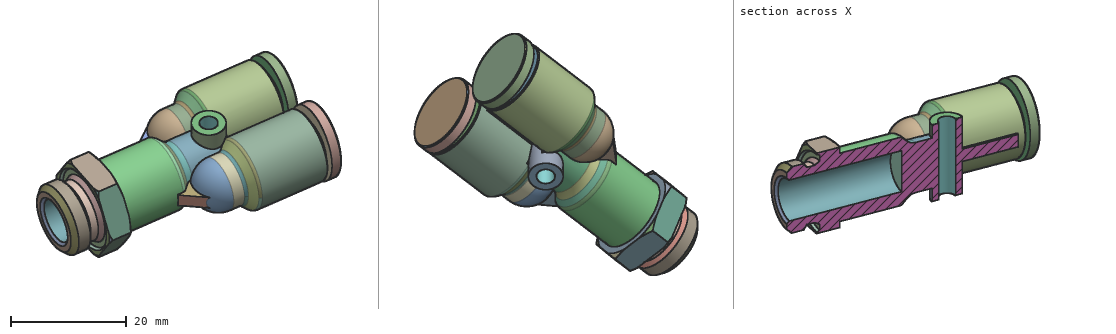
import cadquery as cq
import math

length = 50.1
width = 27.8

barrel_radius = 6.8
reduced_radius = 5.0
shoulder_length = barrel_radius - reduced_radius
leg_offset = width / 2 - barrel_radius

leg_top = 47.2
leg_shoulder = 33.4
leg_dome_center = 29.05
leg_outer_fillet = 0.8
leg_inner_fillet = 0.9
leg_rim_chamfer = 0.2

button_neck_radius = 4.8
collar_bottom = 48.1
collar_width = 13.25
collar_height = 15.1
collar_edge_chamfer = 0.2

stem_shoulder = 22.55
stem_neck_end = 34.05
stem_outer_fillet = 1.0
stem_inner_fillet = 2.1

hex_bottom = 5.9
hex_top = 10.45
hex_across_flats = 16.0
hex_corner_radius = hex_across_flats / 2 / math.cos(math.radians(30))
hex_bottom_face_radius = 8.65
hex_bottom_chamfer_height = 0.35
hex_top_face_radius = 8.15
hex_top_chamfer_height = 0.5

recess_mouth_radius = 7.65
recess_depth = 0.55
recess_taper = 0.3
recess_floor = hex_bottom + recess_depth

thread_radius = 6.6
thread_top = 3.35
thread_chamfer = 1.0
relief_radius = 5.7
relief_bottom = 4.0
relief_top = 5.5
relief_root_radius = 6.3

bore_radius = 4.0
bore_chamfer = 0.5
bore_end = stem_shoulder

post_center = 31.5
post_radius = 3.0
post_height = 15.25
post_hole_radius = 1.6

web_thickness = 2.55
web_top = 45.5
gusset_inner = (barrel_radius, 21.05)
gusset_outer = (10.75, 26.05)


def turned(profile):
    """Solid of revolution about the Y axis; profile points are (radius, y)."""
    return (
        cq.Workplane("XY")
        .polyline(profile)
        .close()
        .revolve(360, (0, 0, 0), (0, 1, 0))
    )


def circle_at(y):
    """Selector for the circular edges of a Y-axis solid lying at height y."""
    reach = 25.05
    tolerance = 0.005
    return cq.selectors.BoxSelector(
        (-reach, y - tolerance, -reach), (reach, y + tolerance, reach)
    )


def shouldered_barrel(end, shoulder, neck_end, outer_fillet, inner_fillet):
    """Barrel from end to shoulder, narrowing at 45 degrees to a neck ending at neck_end."""
    direction = math.copysign(1, neck_end - shoulder)
    neck_start = shoulder + direction * shoulder_length
    barrel = turned([
        (0, end),
        (barrel_radius, end),
        (barrel_radius, shoulder),
        (reduced_radius, neck_start),
        (reduced_radius, neck_end),
        (0, neck_end),
    ])
    barrel = barrel.edges(circle_at(shoulder)).fillet(outer_fillet)
    return barrel.edges(circle_at(neck_start)).fillet(inner_fillet)


def release_button():
    neck = turned([
        (0, leg_top),
        (button_neck_radius, leg_top),
        (button_neck_radius, collar_bottom),
        (0, collar_bottom),
    ])
    collar = (
        cq.Workplane("XZ", origin=(0, length, 0))
        .ellipse(collar_width / 2, collar_height / 2)
        .extrude(length - collar_bottom)
        .faces(">Y")
        .chamfer(collar_edge_chamfer)
    )
    return neck.union(collar)


def leg(axis_x):
    barrel = shouldered_barrel(
        leg_top, leg_shoulder, leg_dome_center, leg_outer_fillet, leg_inner_fillet
    )
    barrel = barrel.edges(circle_at(leg_top)).chamfer(leg_rim_chamfer)
    dome = cq.Workplane("XY").sphere(reduced_radius, direct=(1, 0, 0)).translate((0, leg_dome_center, 0))
    return barrel.union(dome).union(release_button()).translate((axis_x, 0, 0))


def hexagon():
    prism = (
        cq.Workplane("XZ", origin=(0, hex_top, 0))
        .polygon(6, 2 * hex_corner_radius)
        .extrude(hex_top - hex_bottom)
    )
    bevel = turned([
        (0, hex_bottom),
        (hex_bottom_face_radius, hex_bottom),
        (hex_corner_radius, hex_bottom + hex_bottom_chamfer_height),
        (hex_corner_radius, hex_top - hex_top_chamfer_height),
        (hex_top_face_radius, hex_top),
        (0, hex_top),
    ])
    recess = turned([
        (0, hex_bottom),
        (recess_mouth_radius, hex_bottom),
        (recess_mouth_radius - recess_taper, recess_floor),
        (0, recess_floor),
    ])
    return prism.intersect(bevel).cut(recess)


def threaded_end():
    return turned([
        (0, 0),
        (thread_radius - thread_chamfer, 0),
        (thread_radius, thread_chamfer),
        (thread_radius, thread_top),
        (relief_radius, relief_bottom),
        (relief_radius, relief_top),
        (relief_root_radius, recess_floor),
        (0, recess_floor),
    ])


def bore():
    return turned([
        (0, 0),
        (bore_radius + bore_chamfer, 0),
        (bore_radius, bore_chamfer),
        (bore_radius, bore_end),
        (0, bore_end),
    ])


def post_cylinder(radius):
    return (
        cq.Workplane("XY", origin=(0, post_center, -post_height / 2))
        .circle(radius)
        .extrude(post_height)
    )


def web():
    """Plate filling the gap between the legs, with gussets from the domes to the stem."""
    half_outline = [
        (0, gusset_inner[1]),
        gusset_inner,
        gusset_outer,
        (leg_offset, leg_dome_center),
        (leg_offset, web_top),
        (0, web_top),
    ]
    half = (
        cq.Workplane("XY", origin=(0, 0, -web_thickness / 2))
        .polyline(half_outline)
        .close()
        .extrude(web_thickness)
    )
    return half.union(half.mirror("YZ"))


stem = shouldered_barrel(hex_top, stem_shoulder, stem_neck_end, stem_outer_fillet, stem_inner_fillet)

result = stem.union(hexagon()).union(threaded_end())
for side in (-1, 1):
    result = result.union(leg(side * leg_offset))
result = result.union(web()).union(post_cylinder(post_radius))
result = result.cut(post_cylinder(post_hole_radius)).cut(bore())